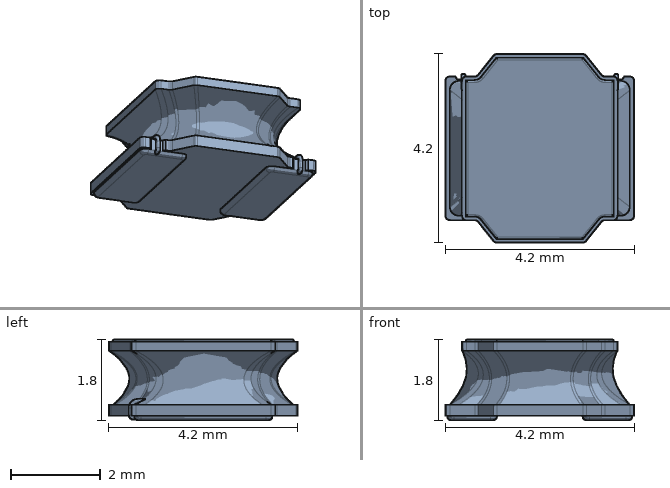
import cadquery as cq
import math


pad_height = 0.10
base_thickness = 0.25
core_height = 1.20
top_thickness = 0.20
cap_height = 0.05
base_z = pad_height
core_z = base_z + base_thickness
top_z = core_z + core_height
cap_z = top_z + top_thickness

half_length = 2.10
base_half_width = 2.10
top_half_width = 1.73
arm_half_length = 1.60
slope_inner_x = 1.00
slope_outer_x = 1.40
corner_radius = 0.10

core_inset = 0.10
core_corner_radius = 0.20
waist_radius = 1.65
waist_z = core_z + core_height / 2

cap_inset = 0.08
cap_inner_radius = corner_radius + cap_inset
cap_fillet = 0.049

pad_inner_x = 0.95
pad_outer_x = 2.06
pad_half_length = 1.54
pad_corner_radius = 0.15
pad_fillet = 0.09

wire_radius = 0.05
wire_x = 1.70
wire_y = arm_half_length + 0.01
wire_low_z = 0.06
wire_high_z = core_z + 0.075
wire_low_bend = 0.06
wire_high_bend = 0.15
wire_inner_y = 1.27
notch_half_width = 0.14
notch_depth = 0.06
notch_mouth_flare = 0.04


def flange_corners(half_width):
    """Sharp corners of a flange outline, counter-clockwise."""
    quarter = [
        (half_width, arm_half_length),
        (slope_outer_x, arm_half_length),
        (slope_inner_x, half_length),
    ]
    half = quarter + [(-x, y) for x, y in reversed(quarter)]
    return half + [(-x, -y) for x, y in half]


def unit_vector(start, end):
    length = math.dist(start, end)
    return (end[0] - start[0]) / length, (end[1] - start[1]) / length


def corner_frames(corners):
    """Each corner with the directions of its incoming and outgoing edges."""
    for i, corner in enumerate(corners):
        previous_corner = corners[i - 1]
        next_corner = corners[(i + 1) % len(corners)]
        yield corner, unit_vector(previous_corner, corner), unit_vector(corner, next_corner)


def inset_corners(corners, distance):
    """Move every edge inwards by the distance, keeping the corners mitred."""
    moved = []
    for (x, y), (ux, uy), (vx, vy) in corner_frames(corners):
        shift = distance / (1 + ux * vx + uy * vy)
        moved.append((x - shift * (uy + vy), y + shift * (ux + vx)))
    return moved


def corner_arcs(corners, radii):
    """Start, middle and end of the rounding arc at every corner."""
    arcs = []
    for (corner, incoming, outgoing), radius in zip(corner_frames(corners), radii):
        x, y = corner
        half_turn = math.acos(incoming[0] * outgoing[0] + incoming[1] * outgoing[1]) / 2
        setback = radius * math.tan(half_turn)
        start = (x - setback * incoming[0], y - setback * incoming[1])
        end = (x + setback * outgoing[0], y + setback * outgoing[1])
        inward = (outgoing[0] - incoming[0], outgoing[1] - incoming[1])
        to_arc = radius * (1 / math.cos(half_turn) - 1) / math.hypot(*inward)
        middle = (x + to_arc * inward[0], y + to_arc * inward[1])
        arcs.append((start, middle, end))
    return arcs


def rounded_wire(corners, radii, z):
    """Closed outline at height z; a zero radius leaves a sharp corner."""
    arcs = corner_arcs(corners, radii)
    edges = []
    for i, (start, middle, end) in enumerate(arcs):
        if radii[i] > 0:
            points = [cq.Vector(*p, z) for p in (start, middle, end)]
            edges.append(cq.Edge.makeThreePointArc(*points))
        next_start = arcs[(i + 1) % len(arcs)][0]
        edges.append(cq.Edge.makeLine(cq.Vector(*end, z), cq.Vector(*next_start, z)))
    return cq.Wire.assembleEdges(edges)


def waist_wire(corners, radii):
    """Waist circle split at the same bearings as the ends of the outline's edges."""
    bearings = []
    for start, _, end in corner_arcs(corners, radii):
        bearings += [math.atan2(start[1], start[0]), math.atan2(end[1], end[0])]
    edges = []
    for i, first in enumerate(bearings):
        span = (bearings[(i + 1) % len(bearings)] - first) % (2 * math.pi)
        points = []
        for angle in (first, first + span / 2, first + span):
            x = waist_radius * math.cos(angle)
            y = waist_radius * math.sin(angle)
            points.append(cq.Vector(x, y, waist_z))
        edges.append(cq.Edge.makeThreePointArc(*points))
    return cq.Wire.assembleEdges(edges)


def prism(wire, height):
    return cq.Workplane(cq.Solid.extrudeLinear(wire, [], cq.Vector(0, 0, height)))


def make_flange(half_width, z, thickness):
    corners = flange_corners(half_width)
    return prism(rounded_wire(corners, [corner_radius] * len(corners), z), thickness)


def make_core():
    """Smooth loft: inset base outline, round waist, full top outline."""
    low_corners = inset_corners(flange_corners(base_half_width), core_inset)
    low_radii = [core_corner_radius, corner_radius, corner_radius]
    low_radii = (low_radii + low_radii[::-1]) * 2
    high_corners = flange_corners(top_half_width)
    high_radii = [corner_radius] * len(high_corners)
    sections = [
        rounded_wire(low_corners, low_radii, core_z),
        waist_wire(low_corners, low_radii),
        rounded_wire(high_corners, high_radii, top_z),
    ]
    return cq.Workplane(cq.Solid.makeLoft(sections))


def make_cap():
    """Raised panel with mitred outer corners and a rounded upper rim."""
    corners = inset_corners(flange_corners(top_half_width), cap_inset)
    radii = [0, cap_inner_radius, 0, 0, cap_inner_radius, 0] * 2
    panel = prism(rounded_wire(corners, radii, cap_z), cap_height)
    return panel.faces(">Z").edges().fillet(cap_fillet)


def make_pad(side):
    width = pad_outer_x - pad_inner_x
    center_x = side * (pad_outer_x + pad_inner_x) / 2
    return (
        cq.Workplane("XY")
        .box(width, 2 * pad_half_length, pad_height, centered=(True, True, False))
        .edges("|Z").fillet(pad_corner_radius)
        .faces("<Z").edges().fillet(pad_fillet)
        .translate((center_x, 0, 0))
    )


def make_notch(side):
    """Flared slot through the +Y edge of a base arm."""
    floor_y = arm_half_length - notch_depth
    mouth_half_width = notch_half_width + notch_mouth_flare
    center_x = side * wire_x
    return (
        cq.Workplane("XY", origin=(center_x, 0, base_z))
        .moveTo(-notch_half_width, floor_y)
        .lineTo(notch_half_width, floor_y)
        .lineTo(mouth_half_width, arm_half_length)
        .lineTo(-mouth_half_width, arm_half_length)
        .close()
        .extrude(base_thickness)
    )


def make_wire_end(side):
    """Round wire from the pad, up through the notch and over into the core."""
    low_mid = wire_low_bend * (1 - math.sqrt(0.5))
    high_mid = wire_high_bend * (1 - math.sqrt(0.5))
    path = (
        cq.Workplane("YZ", origin=(side * wire_x, 0, 0))
        .moveTo(wire_inner_y, wire_low_z)
        .lineTo(wire_y - wire_low_bend, wire_low_z)
        .threePointArc(
            (wire_y - low_mid, wire_low_z + low_mid),
            (wire_y, wire_low_z + wire_low_bend),
        )
        .lineTo(wire_y, wire_high_z - wire_high_bend)
        .threePointArc(
            (wire_y - high_mid, wire_high_z - high_mid),
            (wire_y - wire_high_bend, wire_high_z),
        )
        .lineTo(wire_inner_y, wire_high_z)
    )
    section = cq.Workplane("XZ", origin=(side * wire_x, wire_inner_y, wire_low_z)).circle(wire_radius)
    return section.sweep(path)


sides = (-1, 1)

base = make_flange(base_half_width, base_z, base_thickness)
for side in sides:
    base = base.cut(make_notch(side))

result = base.union(make_core())
result = result.union(make_flange(top_half_width, top_z, top_thickness))
result = result.union(make_cap())
for side in sides:
    result = result.union(make_pad(side))
    result = result.union(make_wire_end(side))